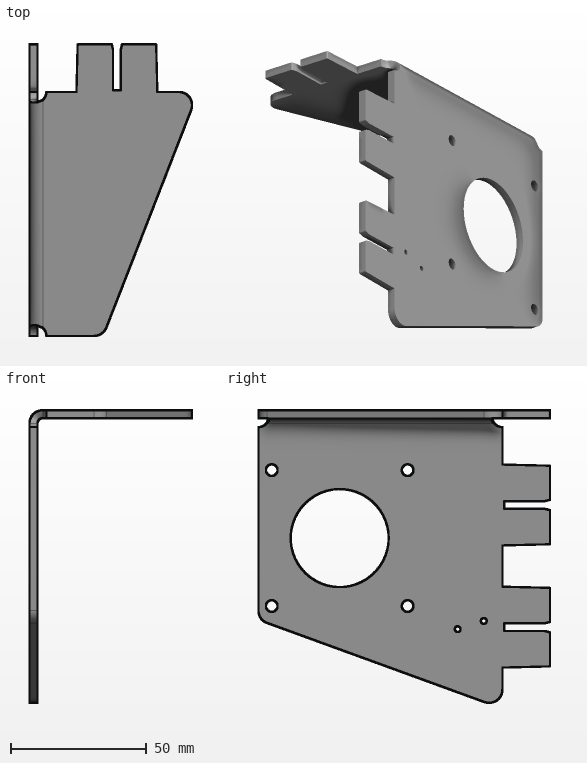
import cadquery as cq
import math


thickness = 3.0
inner_bend_radius = 1.9
outer_bend_radius = inner_bend_radius + thickness
neutral_radius = inner_bend_radius + thickness / 2
half_bend_length = neutral_radius * math.pi / 4
relief_radius = 4.0
relief_spline_spans = 16
cutter_overlap = 0.5

body_length = 90.0
corner_radius = 5.0
upright_reach = 107.9
upright_slant = 20.0
flat_reach = 60.0
flat_slant = 21.3

tab_tip = 107.5
tab_root_width = 29.9
tab_tip_width = 29.0
tab_corner_radius = 0.5
slot_width = 2.7
slot_floor = body_length + 0.6
slot_mouth_width = 3.8
slot_flare_length = 2.2
first_upright_tab = 35.0
tab_spacing = 45.0
flat_tab = 32.3

opening_diameter = 36.0
opening_y = 30.0
opening_depth = 47.1
mount_spacing = 50.0
mount_diameter = 4.2
pin_diameter = 2.0
pin_centers = [(83.1, 77.7), (73.5, 80.7)]


def tab_sketch(center):
    """A tapered tab, centred at the given depth, split by a flared slot."""
    half_outline = [
        (body_length, tab_root_width / 2),
        (tab_tip, tab_tip_width / 2),
        (tab_tip, slot_mouth_width / 2),
        (tab_tip - slot_flare_length, slot_width / 2),
        (slot_floor, slot_width / 2),
    ]
    upper = [(y, center + offset) for y, offset in half_outline]
    lower = [(y, center - offset) for y, offset in reversed(half_outline)]
    outline = upper + lower
    return cq.Sketch().polygon(outline + outline[:1]).vertices(">X").fillet(tab_corner_radius)


def leaf(plane, reach, slant, tab_centers):
    """One flat leaf: slanted outer edge, rounded corners, tabs and bend reliefs."""
    angle = math.radians(slant)
    rear_depth = reach - corner_radius + corner_radius * (1 / math.cos(angle) + math.tan(angle))
    front_depth = rear_depth - body_length * math.tan(angle)
    outline = [
        (0, outer_bend_radius),
        (body_length, outer_bend_radius),
        (body_length, rear_depth),
        (0, front_depth),
    ]
    sketch = cq.Sketch().polygon(outline + outline[:1])
    for y, depth in [(body_length, rear_depth), (0, front_depth)]:
        corner = cq.NearestToPointSelector((y, depth, 0))
        sketch = sketch.reset().vertices(corner).fillet(corner_radius)
    sketch = sketch.reset()
    for center in tab_centers:
        sketch = sketch.face(tab_sketch(center))
    relief_depth = outer_bend_radius - half_bend_length
    relief_centers = [(0, relief_depth), (body_length, relief_depth)]
    sketch = sketch.push(relief_centers).circle(relief_radius, mode="s").reset()
    return cq.Workplane(plane).placeSketch(sketch).extrude(thickness)


def relief_edge(radius, corner_y, inward):
    """Edge of a round bend relief, wrapped around the bend at the given radius."""
    points = []
    for step in range(relief_spline_spans + 1):
        turn = math.pi / 2 * step / relief_spline_spans
        arc_offset = neutral_radius * (turn - math.pi / 4)
        y = corner_y + inward * math.sqrt(relief_radius**2 - arc_offset**2)
        x = outer_bend_radius - radius * math.cos(turn)
        z = -outer_bend_radius + radius * math.sin(turn)
        points.append(cq.Vector(x, y, z))
    return cq.Edge.makeSpline(points)


def bend():
    """Quarter-round bend whose two ends follow the round bend reliefs."""
    blank = (
        cq.Workplane("XZ", origin=(outer_bend_radius, 0, -outer_bend_radius))
        .moveTo(-outer_bend_radius, 0)
        .radiusArc((0, outer_bend_radius), outer_bend_radius)
        .lineTo(0, inner_bend_radius)
        .radiusArc((-inner_bend_radius, 0), -inner_bend_radius)
        .close()
        .extrude(-body_length)
    )
    cutters = []
    for corner_y, inward in [(0, 1), (body_length, -1)]:
        inner = relief_edge(inner_bend_radius - cutter_overlap, corner_y, inward)
        outer = relief_edge(outer_bend_radius + cutter_overlap, corner_y, inward)
        cutters.append(cq.Face.makeRuledSurface(inner, outer))
    pieces = blank.val().split(*cutters).Solids()
    return cq.Workplane(max(pieces, key=lambda piece: piece.Volume()))


def cut_holes(bracket):
    """Large opening, its four mounting holes and two small pin holes."""
    opening = (opening_y, opening_depth)
    face = cq.Workplane(upright_plane).center(*opening)
    cutters = face.circle(opening_diameter / 2).extrude(thickness)
    mounts = face.rect(mount_spacing, mount_spacing, forConstruction=True).vertices()
    cutters = cutters.union(mounts.circle(mount_diameter / 2).extrude(thickness))
    pins = cq.Workplane(upright_plane).pushPoints(pin_centers)
    cutters = cutters.union(pins.circle(pin_diameter / 2).extrude(thickness))
    return bracket.cut(cutters)


upright_plane = cq.Plane(origin=(thickness, 0, 0), xDir=(0, 1, 0), normal=(-1, 0, 0))
flat_plane = cq.Plane(origin=(0, 0, 0), xDir=(0, 1, 0), normal=(0, 0, -1))

upright_tabs = [first_upright_tab, first_upright_tab + tab_spacing]
upright_leaf = leaf(upright_plane, upright_reach, upright_slant, upright_tabs)
flat_leaf = leaf(flat_plane, flat_reach, flat_slant, [flat_tab])
result = cut_holes(upright_leaf.union(bend()).union(flat_leaf))